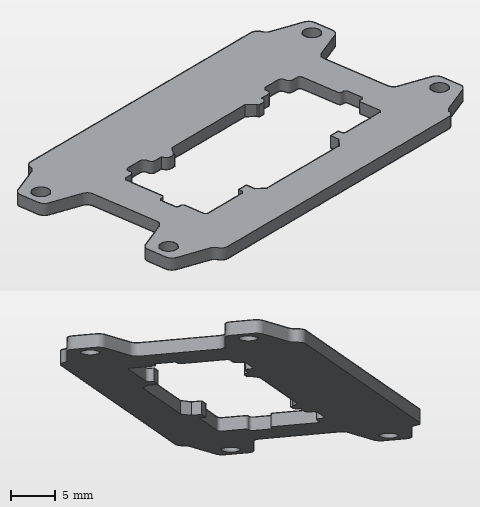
import cadquery as cq
import math

plate_width = 29.35
overall_length = 51.1
thickness = 1.6
body_half_length = 20.1
outline_radius = 1.0

ear_pair_center_x = 0.1
ear_spacing = 18.95
ear_tip_half_width = 2.05
ear_root_half_width = 4.05
hole_diameter = 2.2
hole_end_distance = 2.0

bay_left, bay_right = -4.15, 8.05
bay_inner_y, bay_outer_y = 8.7, 15.3
neck_left, neck_right = -3.35, 7.25
middle_left, middle_right = -4.6, 9.45
middle_half_length = 7.3
middle_chamfer = 0.95
bay_corner_radius = 0.4

end_notch_left, end_notch_right = 1.9, 4.6
end_notch_depth = 0.9
end_notch_radius = 0.35
side_notch_low, side_notch_high = 10.35, 13.55
side_notch_depth = 1.3
side_notch_radius = 0.55
neck_radius = 0.7

overall_half_length = overall_length / 2
ear_centers_x = [ear_pair_center_x + side * ear_spacing / 2 for side in (-1, 1)]


def round_vertical_edges(solid, points, radius):
    """Fillet the vertical edges that stand on the given XY points."""
    for x, y in points:
        nearest_edge = cq.selectors.NearestToPointSelector((x, y, thickness / 2))
        solid = solid.edges("|Z").edges(nearest_edge).fillet(radius)
    return solid


def both_ends(points):
    """Add the mirror image of the points in the XZ plane."""
    return points + [(x, -y) for x, y in points]


def shoulder_points(ear_x, side):
    """Ends of the S-shaped shoulder between a long side and an ear flank.

    A convex arc leaves the long side and runs tangentially into a concave arc
    of the same radius, which ends tangent to the tapered flank.
    Side is -1 for the left shoulder and +1 for the right one.
    """
    taper = math.atan2(ear_root_half_width - ear_tip_half_width, overall_half_length - body_half_length)
    root_tangent_length = outline_radius * math.tan((math.pi / 2 - taper) / 2)
    root_center_x = ear_x + side * (ear_root_half_width + root_tangent_length)
    root_center_y = body_half_length + outline_radius
    corner_center_x = side * (plate_width / 2 - outline_radius)
    center_offset_x = root_center_x - corner_center_x
    corner_center_y = root_center_y - math.sqrt((2 * outline_radius) ** 2 - center_offset_x ** 2)

    side_end = (side * plate_width / 2, corner_center_y)
    arc_joint = ((root_center_x + corner_center_x) / 2, (root_center_y + corner_center_y) / 2)
    flank_end = (
        root_center_x - side * outline_radius * math.cos(taper),
        root_center_y - outline_radius * math.sin(taper),
    )
    return side_end, arc_joint, flank_end


def make_plate():
    """Plate with two tapered ears at each end and a mounting hole in each ear."""
    left_ear_x, right_ear_x = ear_centers_x
    left_side_end, left_joint, left_flank_end = shoulder_points(left_ear_x, -1)
    right_side_end, right_joint, right_flank_end = shoulder_points(right_ear_x, 1)
    inner_roots = [
        (left_ear_x + ear_root_half_width, body_half_length),
        (right_ear_x - ear_root_half_width, body_half_length),
    ]
    left_tip, right_tip = [
        [(x - ear_tip_half_width, overall_half_length), (x + ear_tip_half_width, overall_half_length)]
        for x in ear_centers_x
    ]

    half_plate = (
        cq.Workplane("XY")
        .moveTo(-plate_width / 2, 0)
        .lineTo(*left_side_end)
        .tangentArcPoint(left_joint, relative=False)
        .tangentArcPoint(left_flank_end, relative=False)
        .polyline([*left_tip, *inner_roots, *right_tip, right_flank_end], includeCurrent=True)
        .tangentArcPoint(right_joint, relative=False)
        .tangentArcPoint(right_side_end, relative=False)
        .lineTo(plate_width / 2, 0)
        .close()
        .extrude(thickness)
    )
    half_plate = round_vertical_edges(half_plate, left_tip + inner_roots + right_tip, outline_radius)
    plate = half_plate.union(half_plate.mirror("XZ")).clean()

    hole_y = overall_half_length - hole_end_distance
    hole_centers = both_ends([(x, hole_y) for x in ear_centers_x])
    holes = cq.Workplane("XY").pushPoints(hole_centers).circle(hole_diameter / 2).extrude(thickness)
    return plate.cut(holes)


def make_window():
    """Solid that fills the window, mirror-symmetric end to end."""
    notch_y = bay_outer_y + end_notch_depth
    notch_x = bay_left - side_notch_depth
    chamfer_y = middle_half_length - middle_chamfer

    outer_left_corner = (bay_left, bay_outer_y)
    right_corners = [(bay_right, bay_outer_y), (bay_right, bay_inner_y)]
    end_notch = [
        (end_notch_left, bay_outer_y),
        (end_notch_left, notch_y),
        (end_notch_right, notch_y),
        (end_notch_right, bay_outer_y),
    ]
    side_notch = [
        (bay_left, side_notch_low),
        (notch_x, side_notch_low),
        (notch_x, side_notch_high),
        (bay_left, side_notch_high),
    ]
    left_neck_corner = (neck_left, bay_inner_y)

    half_outline = [
        (middle_left, chamfer_y),
        (middle_left + middle_chamfer, middle_half_length),
        (neck_left, middle_half_length),
        left_neck_corner,
        (bay_left, bay_inner_y),
        *side_notch,
        outer_left_corner,
        *end_notch,
        *right_corners,
        (neck_right, bay_inner_y),
        (neck_right, middle_half_length),
        (middle_right - middle_chamfer, middle_half_length),
        (middle_right, chamfer_y),
    ]
    mirrored_half = [(x, -y) for x, y in reversed(half_outline)]
    window = cq.Workplane("XY").polyline(half_outline + mirrored_half).close().extrude(thickness)
    window = round_vertical_edges(window, both_ends([outer_left_corner, *right_corners]), bay_corner_radius)
    window = round_vertical_edges(window, both_ends(end_notch), end_notch_radius)
    window = round_vertical_edges(window, both_ends(side_notch), side_notch_radius)
    return round_vertical_edges(window, both_ends([left_neck_corner]), neck_radius)


result = make_plate().cut(make_window())